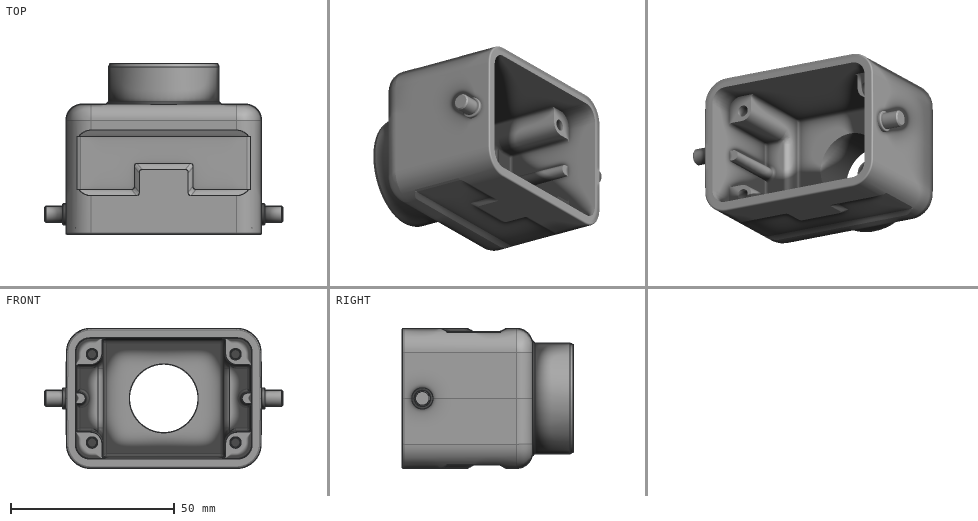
import cadquery as cq
import math


BODY_WIDTH = 60.0
BODY_HEIGHT = 43.0
BODY_DEPTH = 40.0
CORNER_RADIUS = 7.5
BACK_RADIUS = 5.0
RIM_ROUND = 0.5
SIDE_DRAFT_ANGLE = 0.5
HALF_HEIGHT = BODY_HEIGHT / 2

TOTAL_DEPTH = 52.5
ENTRY_DIAMETER = 34.0
ENTRY_BORE = 21.0
ENTRY_CHAMFER_LENGTH = 1.1
ENTRY_CHAMFER_RADIAL = 0.5
ENTRY_FLARE = 0.7

CAVITY_DRAFT_ANGLE = 1.0
MOUTH_WIDTH = 54.2
MOUTH_HEIGHT = 37.2
MOUTH_CORNER_RADIUS = 4.5
MOUTH_DEPTH = 9.6

POCKET_WIDTH = 38.3
POCKET_FLOOR = 37.0
RECESS_HEIGHT = 21.1
RECESS_FLOOR = 31.0
FLOOR_FILLET = 1.0
RECESS_FILLET = 0.9
LIP_RADIUS = 1.2
WALL_CORNER_RADIUS = 1.2
PILLAR_ROUND = 3.4

SCREW_SPACING_X = 44.0
SCREW_SPACING_Z = 27.1
SCREW_MOUTH_DIAMETER = 3.5
SCREW_BOTTOM_DIAMETER = 2.8
SCREW_DEPTH = 12.0

RIB_RADIUS = 1.6
RIB_CENTER_X = 25.65
RIB_FRONT = 10.0

PIN_SPAN = 73.0
PIN_DIAMETER = 5.0
PIN_Y = 6.2
PIN_CHAMFER = 0.4
COLLAR_DIAMETER = 6.5
COLLAR_SPAN = 62.0
COLLAR_ROUND = 0.3

PANEL_DEPTH = 1.0
PANEL_BEVEL = 1.9
PANEL_HALF_WIDTH = 25.6
PANEL_FRONT = 13.8
PANEL_BACK = 30.1
TAB_HALF_WIDTH = 9.0
TAB_BACK = 21.8
TAB_SIDE_BEVEL = 1.5
TAB_CORNER_ROUND = 1.8
PANEL_END_RUN = 2.0
PANEL_END_DROP = 0.6

CUT_MARGIN = 2.0


def block(width, height, front, back):
    """Box centred on X and Z, between two Y positions."""
    return cq.Workplane("XY").box(width, back - front, height).translate((0, (front + back) / 2, 0))


def cylinder_y(diameter, front, back, x=0.0, z=0.0):
    """Cylinder along Y between two Y positions."""
    axis_start = cq.Vector(x, front, z)
    return cq.Workplane(cq.Solid.makeCylinder(diameter / 2, back - front, axis_start, cq.Vector(0, 1, 0)))


def make_shell():
    """Outer block whose sides lean inward from a ridge at Z = 0."""
    ridge = BODY_WIDTH / 2
    edge = ridge - HALF_HEIGHT * math.tan(math.radians(SIDE_DRAFT_ANGLE))
    outline = [
        (-ridge, 0),
        (-edge, HALF_HEIGHT),
        (edge, HALF_HEIGHT),
        (ridge, 0),
        (edge, -HALF_HEIGHT),
        (-edge, -HALF_HEIGHT),
    ]
    shell = cq.Workplane("XZ").polyline(outline).close().extrude(-BODY_DEPTH)
    corner_edges = shell.edges("|Y and (>Z or <Z)")
    shell = corner_edges.fillet(CORNER_RADIUS)
    shell = shell.faces(">Y").edges().fillet(BACK_RADIUS)
    return shell.faces("<Y").edges().fillet(RIM_ROUND)


def make_entry_boss():
    """Round cable entry with a chamfered end and a flared foot."""
    radius = ENTRY_DIAMETER / 2
    foot_radius = radius + ENTRY_FLARE
    profile = [
        (0, POCKET_FLOOR),
        (foot_radius, POCKET_FLOOR),
        (foot_radius, BODY_DEPTH),
        (radius, BODY_DEPTH + ENTRY_FLARE),
        (radius, TOTAL_DEPTH - ENTRY_CHAMFER_LENGTH),
        (radius - ENTRY_CHAMFER_RADIAL, TOTAL_DEPTH),
        (0, TOTAL_DEPTH),
    ]
    return cq.Workplane("XY").polyline(profile).close().revolve(360, (0, 0), (0, 1))


def drafted(size, depth):
    """Half-width left at a given depth of a drafted pocket."""
    return size / 2 - depth * math.tan(math.radians(CAVITY_DRAFT_ANGLE))


def drafted_pocket(width, height, floor, corner_radius):
    """Rectangular pocket opening at the rim and narrowing toward its floor."""
    outline = cq.Sketch().rect(width, height).vertices().fillet(corner_radius)
    return cq.Workplane("XZ").placeSketch(outline).extrude(-floor, taper=CAVITY_DRAFT_ANGLE)


def make_rib():
    """Round-nosed rib along Y on the +X wall, with a filleted foot on the recess floor."""
    length = RECESS_FLOOR - RIB_FRONT
    root_x = BODY_WIDTH / 2
    rib = (
        cq.Workplane("XZ", origin=(0, RIB_FRONT, 0))
        .moveTo(root_x, -RIB_RADIUS)
        .lineTo(RIB_CENTER_X, -RIB_RADIUS)
        .threePointArc((RIB_CENTER_X - RIB_RADIUS, 0), (RIB_CENTER_X, RIB_RADIUS))
        .lineTo(root_x, RIB_RADIUS)
        .close()
        .extrude(-length, taper=-CAVITY_DRAFT_ANGLE)
    )
    base_start = POCKET_WIDTH / 2 + FLOOR_FILLET
    base_length = root_x + CUT_MARGIN - base_start
    base = block(base_length, RECESS_HEIGHT, RECESS_FLOOR, RECESS_FLOOR + FLOOR_FILLET)
    rib = rib.union(base.translate((base_start + base_length / 2, 0, 0)))
    foot = cq.selectors.BoxSelector(
        (RIB_CENTER_X - 2 * RIB_RADIUS, RECESS_FLOOR - 0.1, -2 * RIB_RADIUS),
        (root_x - 0.1, RECESS_FLOOR + 0.1, 2 * RIB_RADIUS),
    )
    return rib.edges(foot).fillet(RECESS_FILLET)


def make_lip():
    """Rounded edge between the +X recess floor and the central pocket."""
    wall_x = drafted(POCKET_WIDTH, RECESS_FLOOR)
    half_length = drafted(RECESS_HEIGHT, RECESS_FLOOR) - RECESS_FILLET
    return (
        cq.Workplane("XY", origin=(0, 0, -half_length))
        .moveTo(0, RECESS_FLOOR)
        .lineTo(wall_x + LIP_RADIUS, RECESS_FLOOR)
        .radiusArc((wall_x, RECESS_FLOOR + LIP_RADIUS), LIP_RADIUS)
        .lineTo(0, RECESS_FLOOR + LIP_RADIUS)
        .close()
        .extrude(2 * half_length)
    )


def make_cavity():
    """Mouth, central pocket and side recesses, with the guide ribs left standing."""
    mouth = drafted_pocket(MOUTH_WIDTH, MOUTH_HEIGHT, MOUTH_DEPTH, MOUTH_CORNER_RADIUS)
    pocket = drafted_pocket(POCKET_WIDTH, MOUTH_HEIGHT, POCKET_FLOOR, WALL_CORNER_RADIUS)
    pocket = pocket.faces(">Y").edges().fillet(FLOOR_FILLET)
    recess = drafted_pocket(MOUTH_WIDTH, RECESS_HEIGHT, RECESS_FLOOR, WALL_CORNER_RADIUS)
    recess = recess.faces(">Y").edges().fillet(RECESS_FILLET)
    deep = pocket.union(recess)

    middle = RECESS_FLOOR / 2
    picks = []
    for side in (-1, 1):
        for end in (-1, 1):
            corner = (side * drafted(POCKET_WIDTH, middle), middle, end * drafted(RECESS_HEIGHT, middle))
            picks += deep.edges(cq.selectors.NearestToPointSelector(corner)).vals()
    deep = deep.newObject(picks).fillet(PILLAR_ROUND)

    lip = make_lip()
    rib = make_rib()
    deep = deep.union(lip).union(lip.mirror("YZ"))
    deep = deep.cut(rib).cut(rib.mirror("YZ"))
    return mouth.union(deep)


def make_screw_holes():
    """Four blind pilot holes, narrowing toward their bottoms."""
    profile = [
        (0, MOUTH_DEPTH),
        (SCREW_MOUTH_DIAMETER / 2, MOUTH_DEPTH),
        (SCREW_BOTTOM_DIAMETER / 2, MOUTH_DEPTH + SCREW_DEPTH),
        (0, MOUTH_DEPTH + SCREW_DEPTH),
    ]
    hole = cq.Workplane("XY").polyline(profile).close().revolve(360, (0, 0), (0, 1))
    holes = cq.Workplane("XY")
    for side in (-1, 1):
        for end in (-1, 1):
            place = (side * SCREW_SPACING_X / 2, 0, end * SCREW_SPACING_Z / 2)
            holes = holes.add(hole.translate(place))
    return holes.combine()


def panel_outline(z, end_offset, tab_offset):
    """Panel outline at one height, grown outward from its floor outline."""
    half_width = PANEL_HALF_WIDTH + end_offset
    front = PANEL_FRONT - end_offset
    tab_half_width = TAB_HALF_WIDTH - tab_offset
    tab_back = TAB_BACK - end_offset
    points = [
        (-half_width, PANEL_BACK + end_offset, z),
        (half_width, PANEL_BACK + end_offset, z),
        (half_width, front, z),
        (tab_half_width, front, z),
        (tab_half_width, tab_back, z),
        (-tab_half_width, tab_back, z),
        (-tab_half_width, front, z),
        (-half_width, front, z),
    ]
    return cq.Wire.makePolygon([cq.Vector(*point) for point in points], close=True)


def make_panel_cutter():
    """Beveled cutter for the top panel, notched around the raised tab."""
    floor_z = HALF_HEIGHT - PANEL_DEPTH
    floor_wire = panel_outline(floor_z, 0, 0)
    mouth_wire = panel_outline(HALF_HEIGHT, PANEL_BEVEL, TAB_SIDE_BEVEL)
    cutter = cq.Workplane(cq.Solid.makeLoft([floor_wire, mouth_wire], True))

    miter_x = TAB_HALF_WIDTH - TAB_SIDE_BEVEL / 2
    miter_z = HALF_HEIGHT - PANEL_DEPTH / 2
    miters = []
    for x in (-miter_x, miter_x):
        for y in (PANEL_FRONT - PANEL_BEVEL / 2, TAB_BACK - PANEL_BEVEL / 2):
            miters += cutter.edges(cq.selectors.NearestToPointSelector((x, y, miter_z))).vals()
    cutter = cutter.newObject(miters).fillet(TAB_CORNER_ROUND)

    end_x = PANEL_HALF_WIDTH + PANEL_END_RUN
    end_profile = [
        (PANEL_HALF_WIDTH, floor_z),
        (end_x, floor_z - PANEL_END_DROP),
        (end_x, HALF_HEIGHT),
        (PANEL_HALF_WIDTH, HALF_HEIGHT),
    ]
    end = cq.Workplane("XZ", origin=(0, PANEL_FRONT, 0)).polyline(end_profile).close()
    end = end.extrude(PANEL_FRONT - PANEL_BACK)
    return cutter.union(end).union(end.mirror("YZ"))


def make_pin(side):
    """Locking pin with its collar, rooted in one side wall."""
    root = MOUTH_WIDTH / 2
    collar_length = COLLAR_SPAN / 2 - root
    plane = cq.Workplane("YZ", origin=(root, PIN_Y, 0))
    collar = plane.circle(COLLAR_DIAMETER / 2).extrude(collar_length)
    collar = collar.faces(">X").edges().fillet(COLLAR_ROUND)
    shank = plane.circle(PIN_DIAMETER / 2).extrude(PIN_SPAN / 2 - root)
    shank = shank.faces(">X").edges().chamfer(PIN_CHAMFER)
    pin = collar.union(shank)
    return pin if side > 0 else pin.mirror("YZ")


part = make_shell().union(make_entry_boss())
part = part.cut(make_cavity())
part = part.cut(cylinder_y(ENTRY_BORE, 0, TOTAL_DEPTH + CUT_MARGIN))
part = part.cut(make_screw_holes())
panel = make_panel_cutter()
part = part.cut(panel).cut(panel.mirror("XY"))
for side in (-1, 1):
    part = part.union(make_pin(side))
result = part